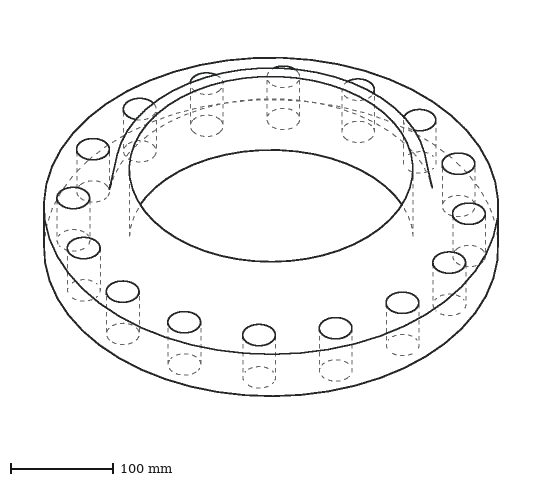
import cadquery as cq

flange_diameter = 444.5
flange_thickness = 54.0
bore_diameter = 277.5

overall_height = 101.8
hub_base_diameter = 320.0
hub_top_diameter = 304.0
hub_height = overall_height - flange_thickness

hub_root_radius = 1.8
hub_rim_radius = 1.5
bore_mouth_radius = 12.5

bolt_circle_diameter = 387.5
bolt_hole_diameter = 32.0
bolt_hole_count = 16

smallest_circle = cq.selectors.RadiusNthSelector(0)


def make_flange():
    return cq.Workplane("XY").circle(flange_diameter / 2).extrude(flange_thickness)


def make_hub():
    """Truncated cone standing on the flange."""
    return (
        cq.Workplane("XY", origin=(0, 0, flange_thickness))
        .circle(hub_base_diameter / 2)
        .workplane(offset=hub_height)
        .circle(hub_top_diameter / 2)
        .loft(ruled=True)
    )


def round_hub(body):
    """Round the top outer rim of the hub and the concave corner at its root."""
    body = body.faces(">Z").edges().fillet(hub_rim_radius)
    flange_top = body.faces("+Z").faces("<Z")
    return flange_top.edges(smallest_circle).fillet(hub_root_radius)


def cut_bore(body):
    """Cut the through bore and round its lower mouth."""
    body = body.faces("<Z").workplane().circle(bore_diameter / 2).cutThruAll()
    return body.faces("<Z").edges(smallest_circle).fillet(bore_mouth_radius)


def cut_bolt_holes(body):
    """Cut the ring of through holes around the hub."""
    return (
        body.faces("<Z")
        .workplane()
        .polarArray(bolt_circle_diameter / 2, 0, 360, bolt_hole_count)
        .circle(bolt_hole_diameter / 2)
        .cutThruAll()
    )


body = make_flange().union(make_hub())
body = round_hub(body)
body = cut_bore(body)
result = cut_bolt_holes(body)